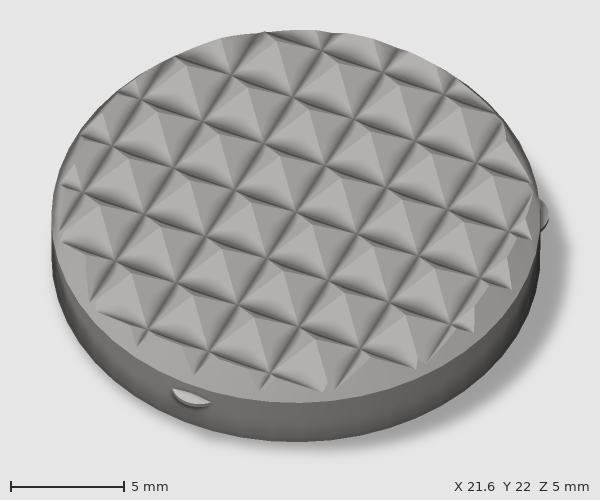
import cadquery as cq
import math

disc_radius = 10.8
total_height = 5.0
bottom_chamfer = 0.48
shoulder_height = 3.15
bevel_angle = 55

tooth_pitch = 3.0
tooth_depth = tooth_pitch / 2
valley_height = total_height - tooth_depth
pitches_per_side = math.ceil(disc_radius / tooth_pitch)

bump_count = 3
first_bump_angle = -90
bump_reach = 11.2
bump_radius = 1.25
bump_mid_height = 2.3
bump_rim_thickness = 0.2
bump_core_thickness = 1.45


def make_disc():
    """Solid of revolution with a bottom chamfer and a conical upper edge."""
    bevel_inset = (total_height - shoulder_height) / math.tan(math.radians(bevel_angle))
    return (
        cq.Workplane("XZ")
        .moveTo(0, 0)
        .lineTo(disc_radius - bottom_chamfer, 0)
        .lineTo(disc_radius, bottom_chamfer)
        .lineTo(disc_radius, shoulder_height)
        .lineTo(disc_radius - bevel_inset, total_height)
        .lineTo(0, total_height)
        .close()
        .revolve(360, (0, 0, 0), (0, 1, 0))
    )


def make_ridges(plane):
    """Slab with a zigzag top, extruded both ways along the normal of the plane."""
    half_width = pitches_per_side * tooth_pitch
    outline = [(-half_width, 0), (-half_width, valley_height)]
    for index in range(-pitches_per_side, pitches_per_side):
        valley = index * tooth_pitch
        outline.append((valley + tooth_pitch / 2, total_height))
        outline.append((valley + tooth_pitch, valley_height))
    outline.append((half_width, 0))
    return cq.Workplane(plane).polyline(outline).close().extrude(half_width, both=True)


def make_bump(angle):
    """Round double cone with a flat rim, partly sunk into the side wall."""
    half_rim = bump_rim_thickness / 2
    half_core = bump_core_thickness / 2
    double_cone = (
        cq.Workplane("XZ")
        .polyline([(0, -half_core), (bump_radius, -half_rim), (bump_radius, half_rim), (0, half_core)])
        .close()
        .revolve(360, (0, 0, 0), (0, 1, 0))
    )
    placed = double_cone.translate((bump_reach - bump_radius, 0, bump_mid_height))
    return placed.rotate((0, 0, 0), (0, 0, 1), angle)


result = make_disc().intersect(make_ridges("XZ")).intersect(make_ridges("YZ"))
for bump_index in range(bump_count):
    result = result.union(make_bump(first_bump_angle + bump_index * 360 / bump_count))